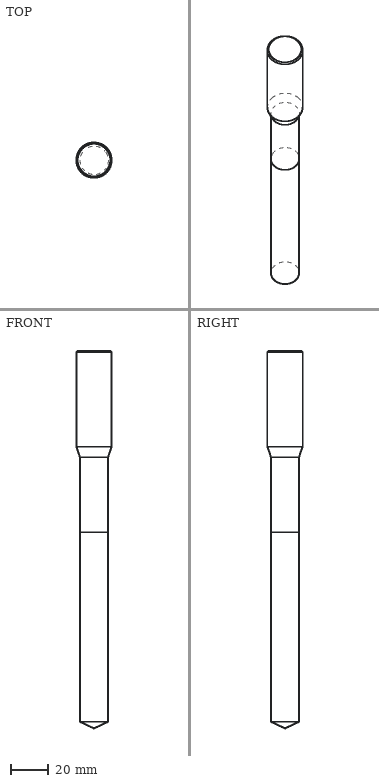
import cadquery as cq

total_length = 202.7

grip_diameter = 19.0
grip_length = 51.5
shoulder_length = 5.7
neck_length = 40.1
top_chamfer = 0.8

cutter_diameter = 15.2
point_height = 3.6

grip_radius = grip_diameter / 2
cutter_radius = cutter_diameter / 2
neck_radius = cutter_radius
shoulder_top = total_length - grip_length
shoulder_bottom = shoulder_top - shoulder_length
joint_height = shoulder_bottom - neck_length


def revolve_profile(points):
    """Revolve a closed (radius, height) outline about the Z axis."""
    return cq.Workplane("XZ").polyline(points).close().revolve(360, (0, 0), (0, 1))


def make_shank():
    """Chamfered grip that tapers to the neck and ends flat on the cutter."""
    return revolve_profile([
        (0, joint_height),
        (neck_radius, joint_height),
        (neck_radius, shoulder_bottom),
        (grip_radius, shoulder_top),
        (grip_radius, total_length - top_chamfer),
        (grip_radius - top_chamfer, total_length),
        (0, total_length),
    ])


def make_cutter():
    """Cylinder below the neck, closed by a conical point."""
    return revolve_profile([
        (0, 0),
        (cutter_radius, point_height),
        (cutter_radius, joint_height),
        (0, joint_height),
    ])


shank = make_shank()
cutter = make_cutter()

result = cq.Compound.makeCompound([shank.val(), cutter.val()])